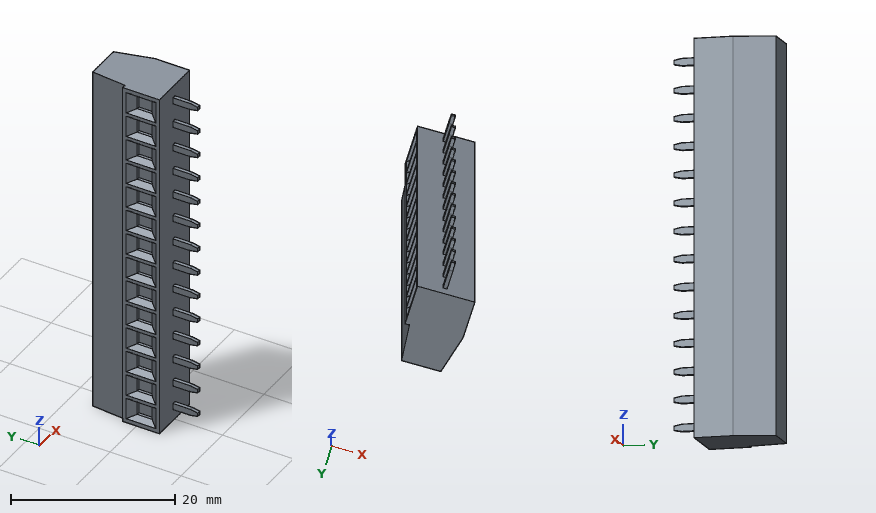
import cadquery as cq

pole_count = 14
pitch = 3.5
end_wall = 0.7
body_height = pole_count * pitch + end_wall
first_pole_z = (body_height - (pole_count - 1) * pitch) / 2

body_width = 7.3
body_depth = 10.0
entry_face_depth = 5.2
step_width = 0.55
back_left_x = 1.0
back_right_x = 6.0
right_bend_y = 4.9

entry_center_y = 2.6
mouth_length = 4.2
mouth_height = 3.0
throat_length = 2.1
throat_height = 2.0
funnel_depth = 0.85
well_depth = 0.4

pin_x = 3.5
pin_thickness = 0.5
pin_height = 0.9
pin_length = 3.5
tip_height = 0.5
tip_length = 1.0


def make_housing():
    """Prism with a stepped left side and a sloping right side."""
    outline = [
        (0, 0),
        (body_width, 0),
        (body_width, right_bend_y),
        (back_right_x, body_depth),
        (back_left_x, body_depth),
        (step_width, entry_face_depth),
        (0, entry_face_depth),
    ]
    return cq.Workplane("XY").polyline(outline).close().extrude(body_height)


def make_wire_entry(center_z):
    """Funnel and straight well running inward from the x = 0 face."""
    funnel = (
        cq.Workplane("YZ", origin=(0, entry_center_y, center_z))
        .rect(mouth_length, mouth_height)
        .workplane(offset=funnel_depth)
        .rect(throat_length, throat_height)
        .loft(ruled=True)
    )
    well = (
        cq.Workplane("YZ", origin=(funnel_depth, entry_center_y, center_z))
        .rect(throat_length, throat_height)
        .extrude(well_depth)
    )
    return funnel.union(well)


def make_pin(center_z):
    """Flat pin projecting from the y = 0 face, with a tapered tip."""
    outline = [
        (0, -pin_height / 2),
        (0, pin_height / 2),
        (tip_length - pin_length, pin_height / 2),
        (-pin_length, tip_height / 2),
        (-pin_length, -tip_height / 2),
        (tip_length - pin_length, -pin_height / 2),
    ]
    return (
        cq.Workplane("YZ", origin=(pin_x - pin_thickness / 2, 0, center_z))
        .polyline(outline)
        .close()
        .extrude(pin_thickness)
    )


result = make_housing()
for pole in range(pole_count):
    pole_z = first_pole_z + pole * pitch
    result = result.cut(make_wire_entry(pole_z)).union(make_pin(pole_z))